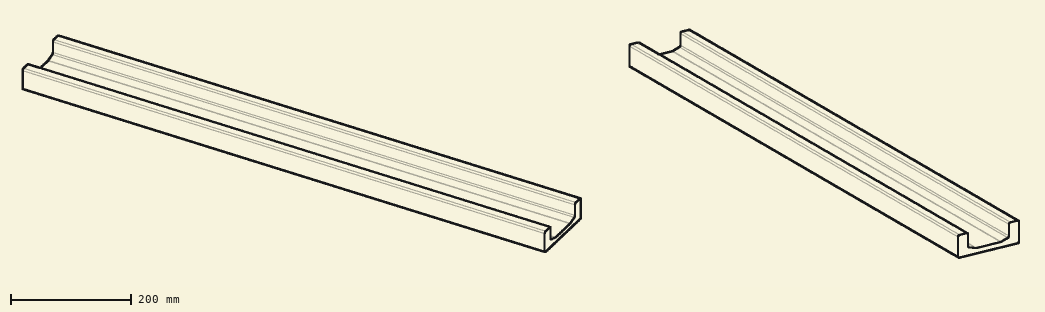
import cadquery as cq

length = 1000.0
width = 121.0
height = 41.0
wall_thickness = 20.0
floor_thickness = 10.0
flat_floor_width = 49.0
wall_foot_height = 15.0
edge_radius = 3.0

half_width = width / 2
half_channel = half_width - wall_thickness
half_flat = flat_floor_width / 2

half_section = [
    (half_width, 0),
    (half_width, height),
    (half_channel, height),
    (half_channel, wall_foot_height),
    (half_flat, floor_thickness),
]
mirrored_half = [(-y, z) for y, z in reversed(half_section)]

rail = (
    cq.Workplane("YZ")
    .polyline(half_section + mirrored_half)
    .close()
    .extrude(length / 2, both=True)
)

result = rail.edges("|X").fillet(edge_radius)